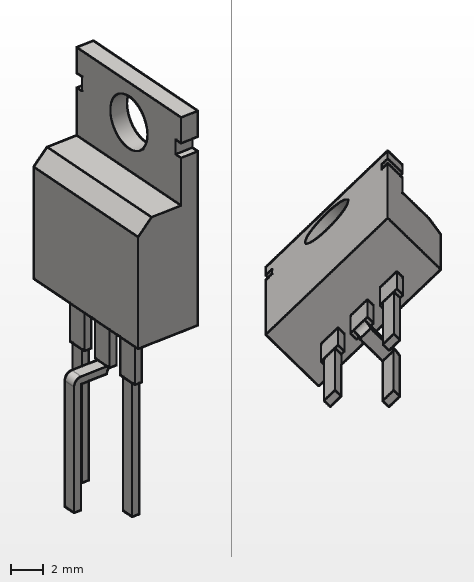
import cadquery as cq

total_height = 28.87
width = 10.55
total_depth = 5.9

housing_depth = 4.62
housing_bottom = 13.55
housing_top = 22.58
front_chamfer = 1.05
tab_thickness = 1.3
hole_diameter = 3.72
hole_below_top = 2.85
notch_below_top = 1.85
notch_height = 1.05
notch_depth = 0.55

lead_pitch = 2.55
lead_thickness = 0.55
lead_back = 2.8
shoulder_width = 1.47
shoulder_length = 3.98
tip_width = 0.95
shoulder_bottom = housing_bottom - shoulder_length
lead_front = lead_back + lead_thickness


def centered_block(block_width, back, front, bottom, top):
    """Box centered on x = 0; y is negative toward the front."""
    return (
        cq.Workplane("XY", origin=(0, -(back + front) / 2, bottom))
        .rect(block_width, front - back)
        .extrude(top - bottom)
    )


def make_housing():
    """Chamfered housing and its notched mounting tab."""
    profile = [
        (0, housing_bottom),
        (0, total_height),
        (-tab_thickness, total_height),
        (-tab_thickness, housing_top),
        (-housing_depth + front_chamfer, housing_top),
        (-housing_depth, housing_top - front_chamfer),
        (-housing_depth, housing_bottom),
    ]
    body = cq.Workplane("YZ").polyline(profile).close().extrude(width / 2, both=True)

    hole = (
        cq.Workplane("XZ", origin=(0, 0, total_height - hole_below_top))
        .circle(hole_diameter / 2)
        .extrude(tab_thickness)
    )
    body = body.cut(hole)

    notch_top = total_height - notch_below_top
    notch = centered_block(2 * notch_depth, 0, tab_thickness, notch_top - notch_height, notch_top)
    for side in (-1, 1):
        body = body.cut(notch.translate((side * width / 2, 0, 0)))
    return body


def make_shoulder():
    """Wide upper part of a lead."""
    return centered_block(shoulder_width, lead_back, lead_front, shoulder_bottom, housing_bottom)


def make_straight_tip():
    """Narrow straight tip that butts against the underside of an outer shoulder."""
    return centered_block(tip_width, lead_back, lead_front, 0, shoulder_bottom)


def make_bent_lead():
    """Middle lead: the narrow tip steps forward, with rounded outsides at both bends."""
    arm_bottom = shoulder_bottom - lead_thickness
    tip_back = total_depth - lead_thickness
    tip = (
        cq.Workplane("YZ")
        .moveTo(-lead_back, shoulder_bottom)
        .radiusArc((-lead_front, arm_bottom), -lead_thickness)
        .lineTo(-tip_back, arm_bottom)
        .lineTo(-tip_back, 0)
        .lineTo(-total_depth, 0)
        .lineTo(-total_depth, arm_bottom)
        .radiusArc((-tip_back, shoulder_bottom), lead_thickness)
        .close()
        .extrude(tip_width / 2, both=True)
    )
    return make_shoulder().union(tip)


package = make_housing().union(make_bent_lead())
outer_tips = []
for side in (-1, 1):
    offset = (side * lead_pitch, 0, 0)
    package = package.union(make_shoulder().translate(offset))
    outer_tips.append(make_straight_tip().translate(offset))

result = cq.Compound.makeCompound([
    package.solids().val(),
    *[tip.val() for tip in outer_tips],
])